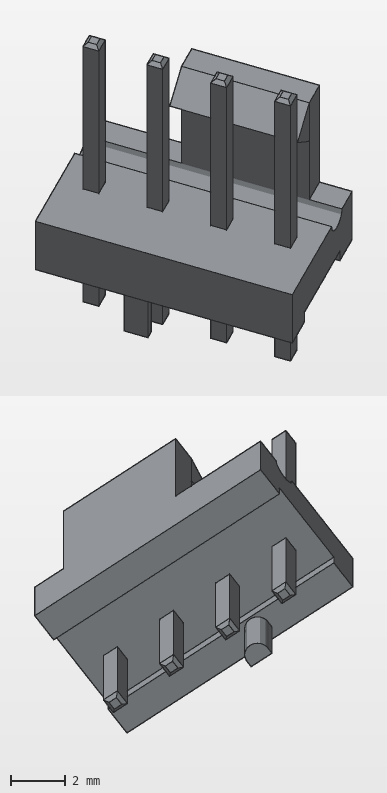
import cadquery as cq


length = 10.2
depth = 5.85
height = 2.5
front_y = -2.55
back_y = front_y + depth
foot_depth = 1.2
foot_height = 0.5
groove_radius = 0.5

pin_count = 4
pin_pitch = 2.54
pin_width = 0.63
pin_length = 13.5
pin_bottom = -3.5
pin_chamfer = 0.15
pin_xs = [(i - (pin_count - 1) / 2) * pin_pitch for i in range(pin_count)]

latch_start = pin_xs[1]
latch_end = pin_xs[-1]
latch_thickness = 1.0
latch_height = 5.01
latch_length = latch_end - latch_start
latch_top = height + latch_height
latch_front_y = back_y - latch_thickness
hook_reach = 1.16
hook_half_height = 1.0

peg_radius = 0.47
peg_flat_depth = 0.25
peg_length = 2.3
peg_front_y = -2.15
peg_x = pin_xs[1]


def make_base():
    """Block with a channel between two feet and a half-round groove on top."""
    block = cq.Workplane("XY").box(length, depth, height, centered=(True, False, False))
    block = block.translate((0, front_y, 0))
    channel = cq.Workplane("XY").box(
        length, depth - 2 * foot_depth, foot_height, centered=(True, False, False)
    )
    channel = channel.translate((0, front_y + foot_depth, 0))
    groove_y = latch_front_y - groove_radius
    groove = (
        cq.Workplane("YZ", origin=(-length / 2, groove_y, height))
        .circle(groove_radius)
        .extrude(length)
    )
    return block.cut(channel).cut(groove)


def make_latch_wall():
    """Upright wall along the back edge of the base."""
    wall = cq.Workplane("XY").box(latch_length, latch_thickness, latch_height, centered=False)
    return wall.translate((latch_start, latch_front_y, height))


def make_hook():
    """Triangular bar on the front face of the latch wall, pointing at the pins."""
    return (
        cq.Workplane("YZ", origin=(latch_start, latch_front_y, latch_top))
        .lineTo(-hook_reach, -hook_half_height)
        .lineTo(0, -2 * hook_half_height)
        .close()
        .extrude(latch_length)
    )


def make_pin(x):
    """Square pin with both ends chamfered."""
    return (
        cq.Workplane("XY", origin=(x, 0, pin_bottom))
        .rect(pin_width, pin_width)
        .extrude(pin_length)
        .faces("<Z or >Z")
        .chamfer(pin_chamfer)
    )


def make_peg():
    """Peg hanging below the front foot."""
    return (
        cq.Workplane("XY", origin=(peg_x, peg_front_y, -peg_length))
        .moveTo(-peg_radius, 0)
        .lineTo(peg_radius, 0)
        .lineTo(peg_radius, peg_flat_depth)
        .threePointArc((0, peg_flat_depth + peg_radius), (-peg_radius, peg_flat_depth))
        .close()
        .extrude(peg_length)
    )


pins = [make_pin(x) for x in pin_xs]

housing = make_base().union(make_latch_wall()).union(make_peg())
for pin in pins:
    housing = housing.cut(pin)
housing = housing.solids()

hook = make_hook()

result = cq.Compound.makeCompound([housing.val(), hook.val(), *[pin.val() for pin in pins]])